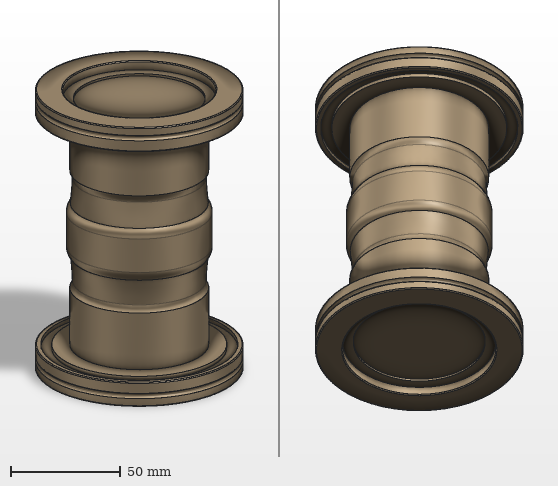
import cadquery as cq
import math

length = 137.3
half_length = length / 2

flange_radius = 95.0 / 2
flange_thickness = 12.0
edge_chamfer = 0.48

rim_groove_radius = 1.2
rim_groove_depth_from_face = 5.2

recess_inner_radius = 80.0 / 2
recess_outer_radius = 90.0 / 2
recess_depth = 1.9

socket_radius = 70.0 / 2
socket_depth = 4.4
floor_radius = 60.3 / 2
floor_depth = 1.1

neck_radius = 63.5 / 2
neck_end_height = 28.8
waist_radius = 30.6
waist_height = 25.3
shoulder_radius = 31.6
shoulder_height = 12.8
belt_radius = 66.7 / 2
belt_half_height = 8.2
waist_sag = 0.1


def tangent_arc_middle(start, end):
    """Middle point of an arc from start to end that leaves start parallel to the axis."""
    radial_step = end[0] - start[0]
    axial_step = end[1] - start[1]
    arc_radius = (radial_step**2 + axial_step**2) / (2 * abs(radial_step))
    half_angle = math.atan2(abs(radial_step), abs(axial_step))
    radial_middle = arc_radius * (1 - math.cos(half_angle))
    axial_middle = arc_radius * math.sin(half_angle)
    return (
        start[0] + math.copysign(radial_middle, radial_step),
        start[1] + math.copysign(axial_middle, axial_step),
    )


def make_belt():
    """Cylindrical belt around the mid-height plane."""
    belt_base = cq.Workplane("XY").workplane(offset=-belt_half_height)
    return belt_base.circle(belt_radius).extrude(2 * belt_half_height)


def make_upper_body():
    """Shoulder, waist and neck above the belt."""
    belt_edge = (belt_radius, belt_half_height)
    shoulder = (shoulder_radius, shoulder_height)
    waist = (waist_radius, waist_height)
    neck_end = (neck_radius, neck_end_height)
    waist_middle = (
        (shoulder_radius + waist_radius) / 2 - waist_sag,
        (shoulder_height + waist_height) / 2,
    )
    body_top = half_length - flange_thickness
    return (
        cq.Workplane("XZ")
        .moveTo(0, belt_half_height)
        .lineTo(*belt_edge)
        .threePointArc(tangent_arc_middle(belt_edge, shoulder), shoulder)
        .threePointArc(waist_middle, waist)
        .threePointArc(tangent_arc_middle(waist, neck_end), neck_end)
        .lineTo(neck_radius, body_top)
        .lineTo(0, body_top)
        .close()
        .revolve(360, (0, 0), (0, 1))
    )


def make_rim_groove():
    """Ring of circular section centred on the flange rim."""
    return (
        cq.Workplane("XZ")
        .center(flange_radius, half_length - rim_groove_depth_from_face)
        .circle(rim_groove_radius)
        .revolve(360, (-flange_radius, 0), (-flange_radius, 1))
    )


def make_upper_flange():
    """Flange disc with its rim groove, neck-side recess and stepped socket."""
    neck_side = half_length - flange_thickness
    socket_floor = half_length - socket_depth
    disc = (
        cq.Workplane("XY")
        .workplane(offset=neck_side)
        .circle(flange_radius)
        .extrude(flange_thickness)
        .edges()
        .chamfer(edge_chamfer)
    )
    recess = (
        cq.Workplane("XY")
        .workplane(offset=neck_side)
        .circle(recess_outer_radius)
        .circle(recess_inner_radius)
        .extrude(recess_depth)
    )
    socket = cq.Workplane("XY").workplane(offset=socket_floor).circle(socket_radius).extrude(socket_depth)
    socket_lead_in = cq.Workplane(
        cq.Solid.makeCone(
            socket_radius,
            socket_radius + edge_chamfer,
            edge_chamfer,
            pnt=cq.Vector(0, 0, half_length - edge_chamfer),
        )
    )
    floor_step = cq.Workplane("XY").workplane(offset=socket_floor).circle(floor_radius).extrude(-floor_depth)
    return disc.cut(make_rim_groove()).cut(recess).cut(socket).cut(socket_lead_in).cut(floor_step)


upper_end = make_upper_body().union(make_upper_flange())
result = make_belt().union(upper_end).union(upper_end.mirror("XY"))